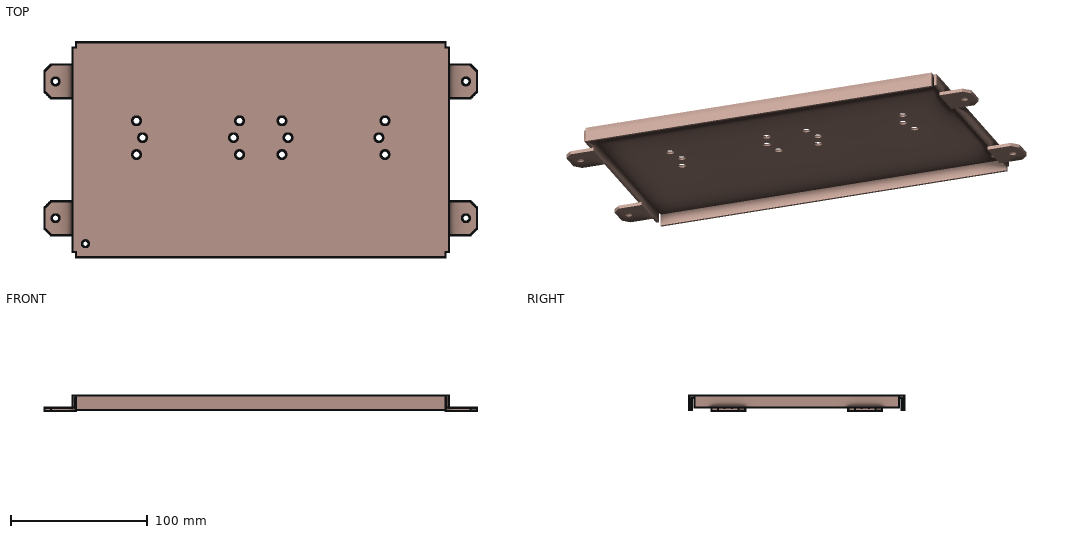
import cadquery as cq

overall_length = 316.0
overall_width = 157.0
overall_height = 11.5

tab_thickness = 2.5

sheet_thickness = 2.0
cover_length = 275.0
corner_gap = 2.0
long_wall_inset = 2.5
long_wall_height = 10.7
end_wall_height = overall_height - tab_thickness
long_wall_length = cover_length - 2 * long_wall_inset
end_wall_length = overall_width - 2 * (sheet_thickness + corner_gap)

tab_width = 25.0
tab_chamfer = 5.0
tab_offset_y = 50.0
tab_hole_diameter = 5.5
tab_hole_inset = 8.2
tab_length = (overall_length - cover_length) / 2 + long_wall_inset

plate_hole_diameter = 6.0
hole_row_y = 9.0
hole_pitch_y = 12.3
outer_column_x = 90.7
inner_column_x = 15.5
column_stagger = 4.5
corner_hole_diameter = 4.7
corner_hole_x = -128.0
corner_hole_y = -68.5


def block(length, width, height, x, y, top):
    """Box centred on (x, y) and hanging down from the given top height."""
    return cq.Workplane("XY").box(length, width, height, centered=(True, True, False)).translate(
        (x, y, top - height)
    )


def make_cover():
    """Top plate with four downturned walls and open corners."""
    cover = block(long_wall_length, overall_width, sheet_thickness, 0, 0, overall_height)
    cover = cover.union(
        block(cover_length, end_wall_length, sheet_thickness, 0, 0, overall_height)
    )
    long_wall_y = (overall_width - sheet_thickness) / 2
    end_wall_x = (cover_length - sheet_thickness) / 2
    for side in (-1, 1):
        cover = cover.union(
            block(long_wall_length, sheet_thickness, long_wall_height, 0, side * long_wall_y, overall_height)
        )
        cover = cover.union(
            block(sheet_thickness, end_wall_length, end_wall_height, side * end_wall_x, 0, overall_height)
        )
    return cover


def make_tab(side, y):
    """Flat tab with chamfered outer corners and one mounting hole."""
    x = side * (overall_length - tab_length) / 2
    outer_edges = "|Z and >X" if side > 0 else "|Z and <X"
    tab = block(tab_length, tab_width, tab_thickness, x, y, tab_thickness)
    tab = tab.edges(outer_edges).chamfer(tab_chamfer)
    hole_x = side * (overall_length / 2 - tab_hole_inset)
    hole = cq.Workplane("XY").center(hole_x, y).circle(tab_hole_diameter / 2).extrude(tab_thickness)
    return tab.cut(hole)


def plate_holes():
    """Four staggered groups of three holes, and one hole near a corner."""
    points = []
    for side in (-1, 1):
        for column_x, stagger in ((outer_column_x, -column_stagger), (inner_column_x, column_stagger)):
            points.append((side * column_x, hole_row_y - hole_pitch_y))
            points.append((side * (column_x + stagger), hole_row_y))
            points.append((side * column_x, hole_row_y + hole_pitch_y))
    holes = cq.Workplane("XY").pushPoints(points).circle(plate_hole_diameter / 2).extrude(overall_height)
    corner_hole = (
        cq.Workplane("XY")
        .center(corner_hole_x, corner_hole_y)
        .circle(corner_hole_diameter / 2)
        .extrude(overall_height)
    )
    return holes.union(corner_hole)


result = make_cover().cut(plate_holes())
for tab_side in (-1, 1):
    for tab_y in (-tab_offset_y, tab_offset_y):
        result = result.union(make_tab(tab_side, tab_y))